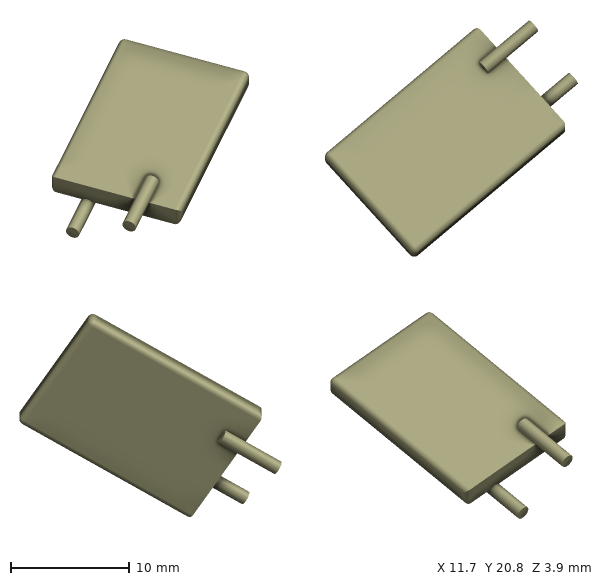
import cadquery as cq

body_width = 11.7
body_thickness = 1.8
edge_radius = 0.5

total_length = 20.8
total_height = 3.9
lead_diameter = 1.2
lead_length = 5.62
lead_protrusion = 3.52
lead_pitch = 5.1

body_length = total_length - lead_protrusion
lead_offset_x = lead_pitch / 2
lead_offset_z = (total_height - lead_diameter) / 2


def make_block(length, back_y):
    """Plain block of the body's section, reaching forward from its back face."""
    return cq.Workplane("XY").box(body_width, length, body_thickness).translate((0, back_y - length / 2, 0))


def make_lead(side):
    """Lead along Y; side +1 is right and above the body, -1 is left and below it."""
    return (
        cq.Workplane("XZ", origin=(side * lead_offset_x, -lead_protrusion, side * lead_offset_z))
        .circle(lead_diameter / 2)
        .extrude(-lead_length)
    )


def make_body(leads):
    """Rounded plate whose front top and bottom edges stay sharp, grooved for the leads."""
    rounded = make_block(body_length + 2 * edge_radius, body_length).edges().fillet(edge_radius)
    trim = make_block(body_length, body_length).edges("|Z").fillet(edge_radius)
    body = rounded.intersect(trim)
    for lead in leads:
        body = body.cut(lead)
    return body


leads = [make_lead(side) for side in (-1, 1)]
body = make_body(leads)

result = cq.Compound.makeCompound([body.solids().val(), *[lead.val() for lead in leads]])